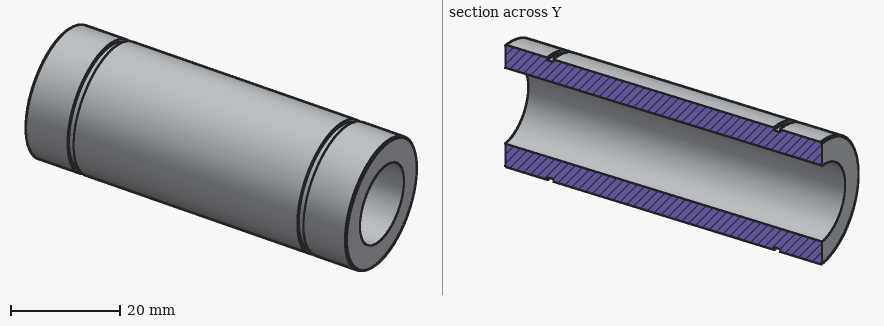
import cadquery as cq

length = 68.0
outer_diameter = 26.0
bore_diameter = 16.0
edge_chamfer = 0.3

groove_diameter = 24.9
groove_width = 1.3
groove_offset = 9.05
cut_clearance = 0.7


def cylinder_along_x(start, span, diameter):
    """Cylinder on the X axis from x = start to x = start + span."""
    return cq.Workplane("YZ", origin=(start, 0, 0)).circle(diameter / 2).extrude(span)


def groove_ring(start):
    """Ring of material removed to form one groove."""
    blank = cylinder_along_x(start, groove_width, outer_diameter + cut_clearance)
    return blank.cut(cylinder_along_x(start, groove_width, groove_diameter))


half_length = length / 2
sleeve = cylinder_along_x(-half_length, length, outer_diameter)
sleeve = sleeve.faces("<X or >X").edges().chamfer(edge_chamfer)

sleeve = sleeve.cut(cylinder_along_x(-half_length, length, bore_diameter))

left_groove_start = -half_length + groove_offset
right_groove_start = half_length - groove_offset - groove_width
for groove_start in (left_groove_start, right_groove_start):
    sleeve = sleeve.cut(groove_ring(groove_start))

result = sleeve